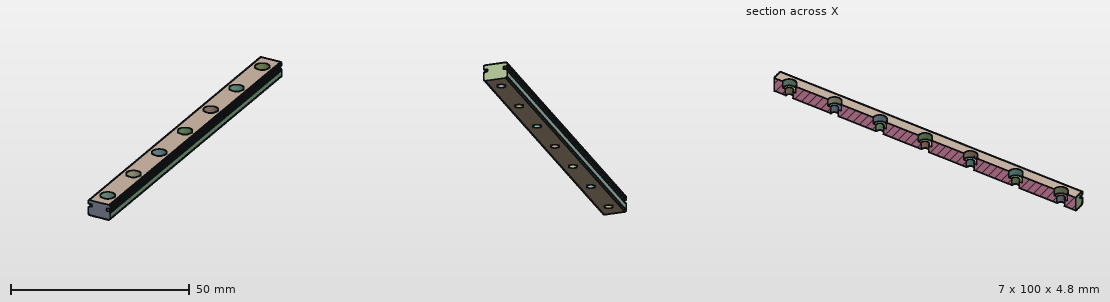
import cadquery as cq

length = 100.0
width = 7.0
height = 4.8
side = width / 2
bottom_chamfer = 0.4
top_chamfer = 0.3

side_wall_top = 2.3
taper_height = 0.15
taper_inset = 0.05
lower_bevel_height = 0.3
lower_bevel_inset = 0.3

groove_width = 0.8
groove_flat_length = 0.4
upper_lip_chamfer = 0.2
groove_radius = groove_width / 2
taper_top = side_wall_top + taper_height
groove_bottom = taper_top + lower_bevel_height
groove_top = groove_bottom + groove_width
groove_mouth = side - taper_inset - lower_bevel_inset
groove_arc_start = groove_mouth - groove_flat_length

hole_count = 7
hole_pitch = 15.0
hole_diameter = 2.4
counterbore_diameter = 4.2
counterbore_depth = 2.3


def rail_body():
    """Extrude the mirrored rail section both ways along Y."""
    right_half = (
        cq.Workplane("XZ")
        .lineTo(side - bottom_chamfer, 0)
        .lineTo(side, bottom_chamfer)
        .lineTo(side, side_wall_top)
        .lineTo(side - taper_inset, taper_top)
        .lineTo(groove_mouth, groove_bottom)
        .lineTo(groove_arc_start, groove_bottom)
        .threePointArc(
            (groove_arc_start - groove_radius, groove_bottom + groove_radius),
            (groove_arc_start, groove_top),
        )
        .lineTo(side - upper_lip_chamfer, groove_top)
        .lineTo(side, groove_top + upper_lip_chamfer)
        .lineTo(side, height - top_chamfer)
        .lineTo(side - top_chamfer, height)
        .lineTo(0, height)
    )
    return right_half.mirrorY().extrude(length / 2, both=True)


def cut_mounting_holes(body):
    """Cut the row of counterbored through holes down the middle of the top."""
    return (
        body.faces(">Z")
        .workplane(origin=(0, 0, height))
        .rarray(1, hole_pitch, 1, hole_count)
        .cboreHole(hole_diameter, counterbore_diameter, counterbore_depth)
    )


result = cut_mounting_holes(rail_body())